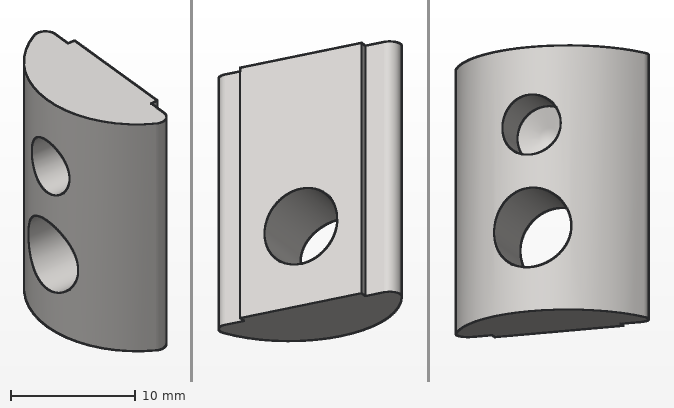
import cadquery as cq
import math

length = 22.0
width = 16.4
depth = 7.0

pad_width = 11.0
pad_height = 0.65

edge_radius = 1.0

through_diameter = 6.6
through_height = 6.97
blind_diameter = 5.0
blind_height = 15.53
blind_wall_depth = 4.0
drill_point_angle = 140.0

shoulder_y = depth - pad_height
edge_x = width / 2 - edge_radius
edge_y = shoulder_y - edge_radius
front_radius = (edge_x**2 + edge_y**2 - edge_radius**2) / (2 * (edge_y - edge_radius))

reach = front_radius / (front_radius - edge_radius)
tangent_x = edge_x * reach
tangent_y = front_radius + (edge_y - front_radius) * reach


def make_body():
    middle_angle = (math.pi / 2 + math.atan2(tangent_y - edge_y, tangent_x - edge_x)) / 2
    middle_x = edge_x + edge_radius * math.cos(middle_angle)
    middle_y = edge_y + edge_radius * math.sin(middle_angle)
    return (
        cq.Workplane("XY")
        .moveTo(-pad_width / 2, depth)
        .lineTo(pad_width / 2, depth)
        .lineTo(pad_width / 2, shoulder_y)
        .lineTo(edge_x, shoulder_y)
        .threePointArc((middle_x, middle_y), (tangent_x, tangent_y))
        .threePointArc((0, 0), (-tangent_x, tangent_y))
        .threePointArc((-middle_x, middle_y), (-edge_x, shoulder_y))
        .lineTo(-pad_width / 2, shoulder_y)
        .close()
        .extrude(length)
    )


def make_through_hole():
    hole = cq.Workplane("XZ").center(0, through_height).circle(through_diameter / 2)
    return hole.extrude(-depth)


def make_blind_hole():
    radius = blind_diameter / 2
    tip_depth = radius / math.tan(math.radians(drill_point_angle / 2))
    return (
        cq.Workplane("XY", origin=(0, 0, blind_height))
        .lineTo(radius, 0)
        .lineTo(radius, blind_wall_depth)
        .lineTo(0, blind_wall_depth + tip_depth)
        .close()
        .revolve(360, (0, 0, 0), (0, 1, 0))
    )


result = make_body().cut(make_through_hole()).cut(make_blind_hole())